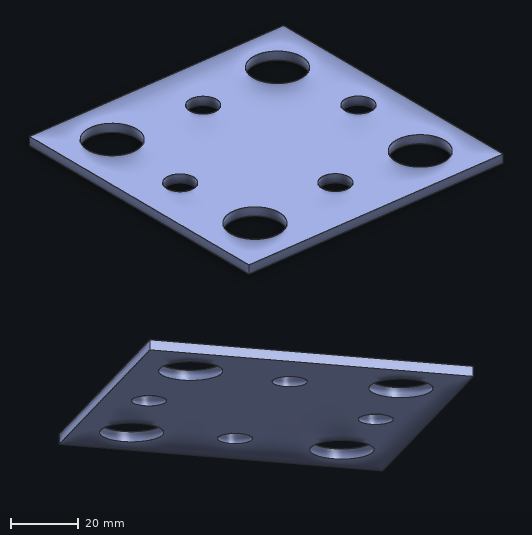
import cadquery as cq

plate_side = 100.0
plate_thickness = 3.2

corner_hole_diameter = 19.05
corner_hole_spacing = 65.0

small_hole_diameter = 10.41
small_hole_spacing_x = 60.2
small_hole_spacing_y = 70.1
small_pattern_offset_y = 1.2


def corner_hole_centers():
    half = corner_hole_spacing / 2
    return [(x, y) for x in (-half, half) for y in (-half, half)]


def small_hole_centers():
    centers = []
    for side in (-1, 1):
        centers.append((side * small_hole_spacing_x / 2, small_pattern_offset_y))
        centers.append((0, small_pattern_offset_y + side * small_hole_spacing_y / 2))
    return centers


def drill_through(body, centers, diameter):
    return body.faces(">Z").workplane(origin=(0, 0, 0)).pushPoints(centers).hole(diameter)


plate = cq.Workplane("XY").box(plate_side, plate_side, plate_thickness)
plate = drill_through(plate, corner_hole_centers(), corner_hole_diameter)
result = drill_through(plate, small_hole_centers(), small_hole_diameter)